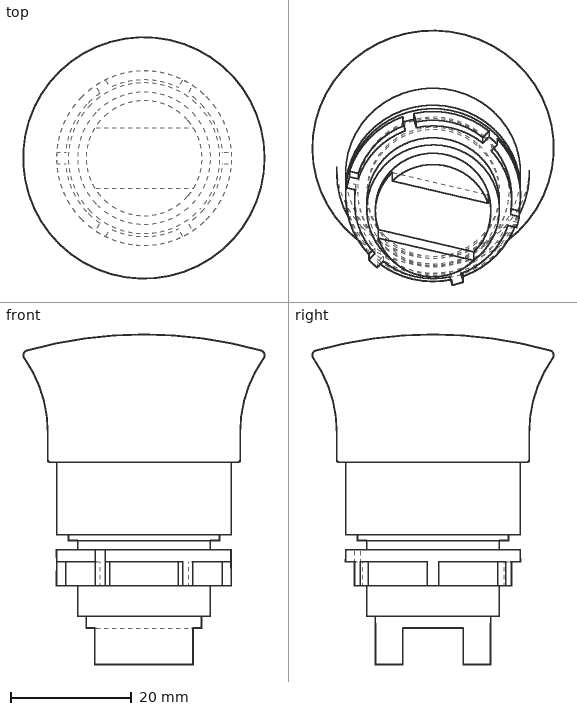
import cadquery as cq
import math

SLOT_TOP = 6.0
FOOT_TOP = 8.0
BARREL_TOP = 13.0
LUG_TOP = 17.0
NUT_TOP = 19.05
NECK_TOP = 20.5
SEAL_TOP = 21.5
CAP_BOTTOM = 33.5
FLARE_BOTTOM = 38.5
RIM_BOTTOM = 50.65
RIM_WIDEST = 51.4
RIM_TOP = 52.1
TOTAL_HEIGHT = 54.7

FOOT_RADIUS = 9.55
BARREL_RADIUS = 11.0
RING_RADIUS = 13.0
BODY_RADIUS = 14.5
NUT_RADIUS = BODY_RADIUS
SEAL_RADIUS = 12.5
CAP_RADIUS = 15.95
FLARE_TOP_RADIUS = 19.8
RIM_RADIUS = 19.995
DOME_RADIUS = 19.25
CAP_EDGE_FILLET = 0.45

SLOT_WIDTH = 10.0
LUG_COUNT = 6
LUG_WIDTH = 1.9
MARKER_ANGLE = 240


def cylinder(radius, bottom, top):
    return cq.Workplane("XY").workplane(offset=bottom).circle(radius).extrude(top - bottom)


def radial_bar(angle, bottom, top):
    """Flat-ended bar from the axis to the nut radius, pointing along the given angle."""
    bar = cq.Workplane("XY").box(NUT_RADIUS, LUG_WIDTH, top - bottom, centered=(False, True, False))
    return bar.translate((0, 0, bottom)).rotate((0, 0, 0), (0, 0, 1), angle)


def make_cap():
    """Mushroom cap: straight skirt, flare that leaves it tangentially, round rim and dome."""
    profile = (
        cq.Workplane("XZ")
        .moveTo(0, CAP_BOTTOM)
        .lineTo(CAP_RADIUS, CAP_BOTTOM)
        .lineTo(CAP_RADIUS, FLARE_BOTTOM)
        .tangentArcPoint((FLARE_TOP_RADIUS, RIM_BOTTOM), relative=False)
        .threePointArc((RIM_RADIUS, RIM_WIDEST), (DOME_RADIUS, RIM_TOP))
    )
    rise = TOTAL_HEIGHT - RIM_TOP
    sphere_radius = (DOME_RADIUS**2 + rise**2) / (2 * rise)
    middle_radius = DOME_RADIUS / 2
    drop = sphere_radius - math.sqrt(sphere_radius**2 - middle_radius**2)
    profile = profile.threePointArc((middle_radius, TOTAL_HEIGHT - drop), (0, TOTAL_HEIGHT)).close()
    cap = profile.revolve(360, (0, 0, 0), (0, 1, 0))
    return cap.faces("<Z").edges().fillet(CAP_EDGE_FILLET)


def make_nut():
    """Round nut with a narrower lugged ring below; one lug runs up the full height as a marker."""
    nut = cylinder(NUT_RADIUS, LUG_TOP, NUT_TOP)
    nut = nut.union(cylinder(RING_RADIUS, BARREL_TOP, LUG_TOP))
    envelope = cylinder(NUT_RADIUS, BARREL_TOP, LUG_TOP)
    for index in range(LUG_COUNT):
        angle = index * 360 / LUG_COUNT
        if angle != MARKER_ANGLE:
            nut = nut.union(radial_bar(angle, BARREL_TOP, LUG_TOP).intersect(envelope))
    return nut.union(radial_bar(MARKER_ANGLE, BARREL_TOP, NUT_TOP))


def make_foot():
    """Round foot split into two legs by a slot along X."""
    slot = cq.Workplane("XY").box(2 * FOOT_RADIUS, SLOT_WIDTH, SLOT_TOP, centered=(True, True, False))
    return cylinder(FOOT_RADIUS, 0, FOOT_TOP).cut(slot)


body = cylinder(BODY_RADIUS, SEAL_TOP, CAP_BOTTOM)
seal = cylinder(SEAL_RADIUS, NECK_TOP, SEAL_TOP)
barrel = cylinder(BARREL_RADIUS, FOOT_TOP, NECK_TOP)

result = make_foot().union(barrel).union(make_nut()).union(seal).union(body).union(make_cap())